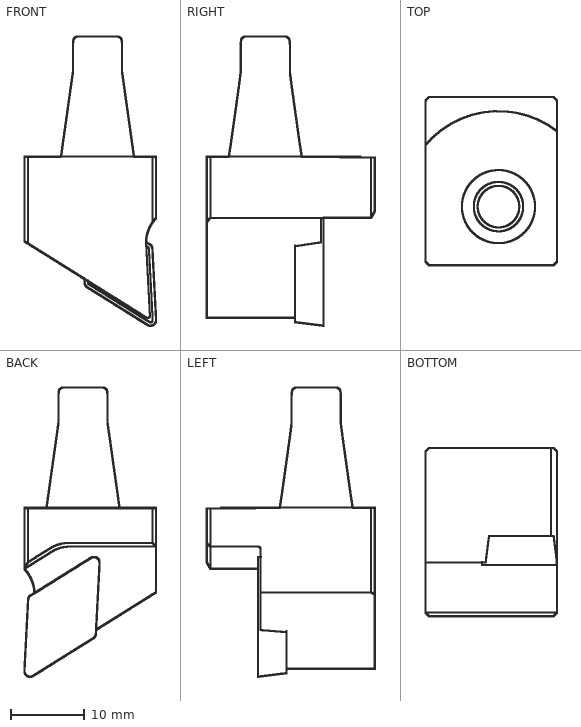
import cadquery as cq
import math


x_left, x_right = -10.0, 8.0
y_front, y_back = -8.0, 14.97
corner_chamfer = 0.5
seat_radius = 13.05
seat_step = 0.1

column_back = 7.6
slope_start_z = -11.57
tip_round = 0.3
notch_top_z = -8.37
notch_radius = 5.0
notch_depth = 1.4

overhang_left_z = -5.35
overhang_right_z = notch_top_z
overhang_bend = 4.35
inner_round = 0.35

shank_base_diameter = 10.0
shank_diameter = 6.75
taper_height = 11.5
shank_height = 16.4
top_round = 0.67
end_face_radius = 2.85
end_bevel_height = 0.14
lead_in_height = 1.03
lead_in_step = 0.05

insert_angle = 55
edge_lean = 3
insert_side = 11.6
nose_radius = 0.8
insert_thickness = 3.95
insert_face_y = 7.98
relief_angle = 7
tip_z = -23.1

right_edge_angle = math.radians(90 + edge_lean)
lower_edge_angle = right_edge_angle + math.radians(insert_angle)


def step(start, angle, length):
    """Point at a distance from start along an angle in the XZ plane."""
    return (start[0] + length * math.cos(angle), start[1] + length * math.sin(angle))


def prism(outline, y_start, y_end):
    """Extrude a closed XZ outline from y_start to y_end."""
    return outline.extrude(y_start - y_end).translate((0, y_start, 0))


def make_profile_block():
    """Full-depth block: sloped underside, notched right side and rounded tip."""
    notch_x = x_right - notch_depth
    notch_end_z = notch_top_z - math.sqrt(notch_radius**2 - (notch_radius - notch_depth) ** 2)
    notch_half_angle = math.acos(1 - notch_depth / notch_radius) / 2
    notch_mid = (
        notch_x + notch_radius * (1 - math.cos(notch_half_angle)),
        notch_end_z + notch_radius * math.sin(notch_half_angle),
    )
    slope = math.tan(math.pi - lower_edge_angle)
    lean = math.tan(math.radians(edge_lean))
    slope_z = slope_start_z - slope * (notch_x - x_left)
    tip_drop = (notch_end_z - slope_z) / (1 - slope * lean)
    tip = (notch_x + lean * tip_drop, notch_end_z - tip_drop)
    outline = (
        cq.Workplane("XZ")
        .moveTo(x_left, 0)
        .lineTo(x_right, 0)
        .lineTo(x_right, notch_top_z)
        .threePointArc(notch_mid, (notch_x, notch_end_z))
        .lineTo(*tip)
        .lineTo(x_left, slope_start_z)
        .close()
    )
    return prism(outline, y_front, y_back).edges("|Y and <Z").fillet(tip_round)


def make_rear_clearance():
    """Space behind the column: flat roof bending into a slope parallel to the column's underside."""
    margin = 1.98
    slope = math.tan(math.pi - lower_edge_angle)
    bend_x = x_right - (overhang_left_z - overhang_right_z) / slope
    floor_z = tip_z - margin
    outline = cq.Workplane("XZ").polyline([
        (x_left - margin, floor_z),
        (x_left - margin, overhang_left_z),
        (bend_x, overhang_left_z),
        (x_right + margin, overhang_right_z - slope * margin),
        (x_right + margin, floor_z),
    ]).close()
    clearance = prism(outline, column_back, y_back + margin)
    bend_edge = cq.selectors.NearestToPointSelector((bend_x, (column_back + y_back) / 2, overhang_left_z))
    clearance = clearance.edges(bend_edge).fillet(overhang_bend)
    roof_front_edges = clearance.faces("<Y").edges("(not |Z) and (not <Z)")
    return roof_front_edges.fillet(inner_round)


def make_seat_relief():
    """Shallow layer removed from the top of the block outside the round seat."""
    depth = y_back - y_front
    slab = cq.Workplane("XY").box(
        x_right - x_left, depth, seat_step, centered=False
    ).translate((x_left, y_front, -seat_step))
    seat = cq.Workplane("XY").circle(seat_radius).extrude(-seat_step)
    return slab.cut(seat)


def make_shank():
    """Cone, cylinder, slight lead-in and rounded end, revolved about Z."""
    end_radius = shank_diameter / 2 - lead_in_step
    round_angle = math.asin(1 - end_bevel_height / top_round)
    round_center = (end_radius - top_round, shank_height - top_round)
    profile = (
        cq.Workplane("XZ")
        .lineTo(shank_base_diameter / 2, 0)
        .lineTo(shank_diameter / 2, taper_height)
        .lineTo(shank_diameter / 2, shank_height - lead_in_height)
        .lineTo(end_radius, shank_height - top_round)
        .threePointArc(
            step(round_center, round_angle / 2, top_round),
            step(round_center, round_angle, top_round),
        )
        .lineTo(end_face_radius, shank_height)
        .lineTo(0, shank_height)
        .close()
    )
    return profile.revolve(360, (0, 0), (0, 1))


def make_insert():
    """Rhombic cutting insert, tapered by the relief angle towards the front."""
    nose_center = (x_right - nose_radius, tip_z + nose_radius)
    bisector = (right_edge_angle + lower_edge_angle) / 2
    corner = step(nose_center, bisector, -nose_radius / math.sin(math.radians(insert_angle / 2)))
    right_corner = step(corner, right_edge_angle, insert_side)
    left_corner = step(corner, lower_edge_angle, insert_side)
    far_corner = step(right_corner, lower_edge_angle, insert_side)
    outline = cq.Sketch().polygon([corner, right_corner, far_corner, left_corner, corner])
    outline = outline.vertices().fillet(nose_radius)
    return (
        cq.Workplane("XZ", origin=(0, insert_face_y, 0))
        .placeSketch(outline)
        .extrude(insert_thickness, taper=relief_angle)
    )


def make_holder(insert):
    """Block and shank in one solid, with a pocket matching the insert."""
    block = make_profile_block().edges("|Z").chamfer(corner_chamfer)
    block = block.cut(make_rear_clearance())
    underside_edges = block.faces(">Y").edges("(not |Z) and (not >Z)")
    block = underside_edges.chamfer(corner_chamfer)
    block = block.cut(make_seat_relief())
    return block.union(make_shank()).cut(insert)


insert = make_insert()
holder = make_holder(insert)

result = cq.Compound.makeCompound([holder.val(), insert.val()])